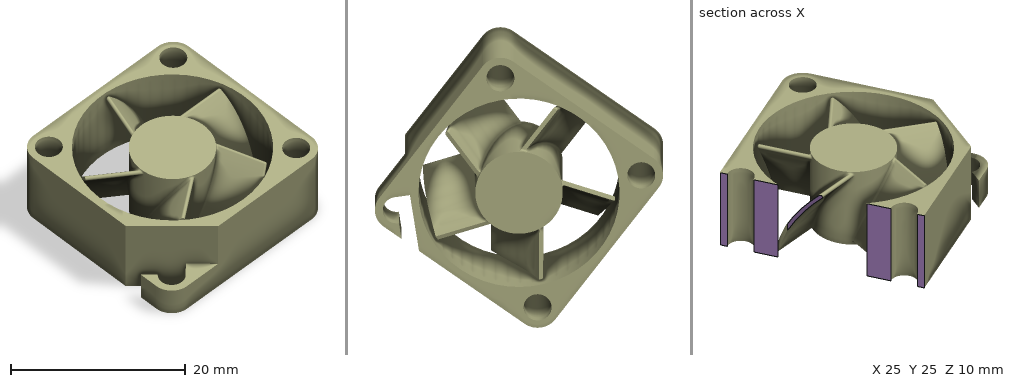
import cadquery as cq
import math

frame_width = 25
frame_height = 10
corner_radius = 2.5
bore_diameter = 23
hole_offset = 10
hole_diameter = 3.2

corner_cut_leg = 7.5
ear_height = 3.75

hub_diameter = 10
blade_count = 5
blade_tip_radius = 11
blade_thickness = 0.5
root_fillet = 0.2
tip_fillet = 0.2
rounded_blades = (0, 4)

camber_center_x = -18
camber_center_z = -5.8
camber_radius = 21.52
leading_angle = 45.5
trailing_angle = 17

half_width = frame_width / 2
hub_radius = hub_diameter / 2
hole_radius = hole_diameter / 2
edge_margin = 0.02


def make_corner_cut():
    """Prism that takes the +X, -Y corner off at 45 degrees, above the ear."""
    return (
        cq.Workplane("XY", origin=(half_width, -half_width, ear_height))
        .polyline([(0, 0), (0, corner_cut_leg), (-corner_cut_leg, 0)])
        .close()
        .extrude(frame_height - ear_height)
    )


def make_ear_slot():
    """Slot from the corner cut to the hole centre, open to -Y and ending tangent to the hole."""
    corner_to_cut = corner_cut_leg / math.sqrt(2)
    corner_to_hole = (half_width - hole_offset) * math.sqrt(2)
    slot_width = corner_to_cut - corner_to_hole
    along_cut = cq.Plane(
        origin=(hole_offset, -hole_offset, 0), xDir=(1, 1, 0), normal=(0, 0, 1)
    )
    return (
        cq.Workplane(along_cut)
        .moveTo(hole_radius, 0)
        .rect(-half_width, slot_width, centered=False)
        .extrude(ear_height)
    )


def make_frame():
    bore = cq.Workplane("XY").circle(bore_diameter / 2).extrude(frame_height)
    holes = (
        cq.Workplane("XY")
        .rect(2 * hole_offset, 2 * hole_offset, forConstruction=True)
        .vertices()
        .circle(hole_radius)
        .extrude(frame_height)
    )
    return (
        cq.Workplane("XY")
        .rect(frame_width, frame_width)
        .extrude(frame_height)
        .edges("|Z")
        .fillet(corner_radius)
        .cut(bore)
        .cut(holes)
        .cut(make_corner_cut())
        .cut(make_ear_slot())
    )


def camber_point(radius, angle):
    """Point in XZ at a radius and an angle in degrees about the camber centre."""
    return (
        camber_center_x + radius * math.cos(math.radians(angle)),
        camber_center_z + radius * math.sin(math.radians(angle)),
    )


def make_blade():
    """Blade that points to +Y, from the fan axis out to the cylinder of the tips."""
    upper = camber_radius + blade_thickness / 2
    lower = camber_radius - blade_thickness / 2
    middle_angle = (leading_angle + trailing_angle) / 2
    nose_angle = leading_angle + math.degrees(blade_thickness / 2 / camber_radius)
    tip_cylinder = cq.Workplane("XY").circle(blade_tip_radius).extrude(frame_height)
    return (
        cq.Workplane("XZ")
        .moveTo(*camber_point(upper, trailing_angle))
        .threePointArc(camber_point(upper, middle_angle), camber_point(upper, leading_angle))
        .threePointArc(camber_point(camber_radius, nose_angle), camber_point(lower, leading_angle))
        .threePointArc(camber_point(lower, middle_angle), camber_point(lower, trailing_angle))
        .close()
        .extrude(-blade_tip_radius)
        .intersect(tip_cylinder)
    )


def make_rotor():
    square_blade = make_blade()
    rounded_blade = square_blade.faces(">Y").edges().fillet(tip_fillet)
    rotor = cq.Workplane("XY").circle(hub_radius).extrude(frame_height)
    for index in range(blade_count):
        blade = rounded_blade if index in rounded_blades else square_blade
        turn = index * 360 / blade_count
        rotor = rotor.union(blade.rotate((0, 0, 0), (0, 0, 1), turn))
    root_zone = cq.selectors.BoxSelector(
        (-hub_radius, -hub_radius, edge_margin),
        (hub_radius, hub_radius, frame_height - edge_margin),
    )
    return rotor.edges(root_zone).fillet(root_fillet)


frame = make_frame()
rotor = make_rotor()
result = cq.Compound.makeCompound([frame.val(), rotor.val()])